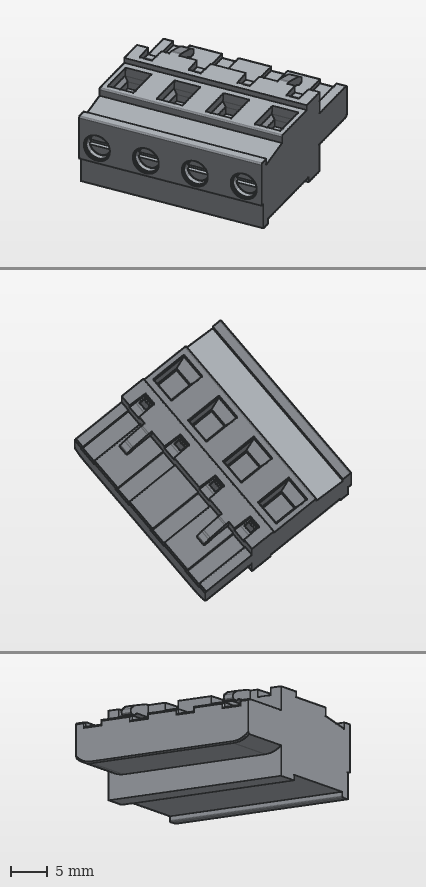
import cadquery as cq
import math

WIDTH = 28.0
LENGTH = 26.0
HEIGHT = 12.6
EDGE_RADIUS = 0.22

POLE_COUNT = 4
POLE_PITCH = 7.5
POLE_X = [(i - (POLE_COUNT - 1) / 2) * POLE_PITCH for i in range(POLE_COUNT)]

BLOCK_BACK_Y = 17.67
BLOCK_FRONT_Y = 13.78
DECK_FRONT_Y = 6.22
DECK_Z = 11.82
SLOPE_BACK_Z = 10.6
SLOPE_FRONT_Z = 9.72
LIP_THICKNESS = 1.48
LIP_TOP_Z = 10.65
LIP_BOTTOM_Z = 3.8
SKIRT_Y = 0.55
FRONT_FOOT_BACK_Y = 2.02
REAR_FOOT_FRONT_Y = 14.3
BASE_Z = 0.78

TONGUE_TOP_Z = 9.25
TONGUE_BOTTOM_Z = 3.33
TONGUE_SIDE_BOTTOM_Z = 4.28
TONGUE_ARC_WIDTH = 2.5
TONGUE_CHAMFER = 0.22
GROOVE_WIDTH = 2.52
GROOVE_DEPTH = 0.65

LATCH_X = 8.3
LATCH_WIDTH = 1.5
LATCH_UNDER_Z = 10.85
LATCH_SHOULDER = (18.28, HEIGHT)
LATCH_KINK = (21.1, 11.9)
LATCH_BEND_RADIUS = 0.98
LATCH_NOSE_TOP = (21.98, 11.35)
LATCH_TIP = (22.15, 10.95)
LATCH_NOSE_BOTTOM = (21.9, 10.5)
LATCH_HOOK_Y = 21.2
LATCH_HOOK_ROOT_Y = 20.5

NOTCH_BACK_WIDTH = 2.1
NOTCH_FRONT_WIDTH = 1.9
NOTCH_FRONT_Y = 14.9
NOTCH_DEPTH = 0.98
NOTCH_SLOPE_Y = 16.63
NOTCH_BACK_DEPTH = 1.05
TEST_SLOT_WIDTH = 1.37
TEST_SLOT_FRONT_Y = 15.0
TEST_SLOT_STEP_Y = 15.4
TEST_SLOT_BACK_Y = 16.2
TEST_SLOT_DEPTH = 0.8
TEST_SLOT_CREST_DEPTH = 0.08

WINDOW_WIDTH = 3.95
WINDOW_FRONT_Y = 7.22
WINDOW_BACK_Y = 12.7
WINDOW_MOUTH_DEPTH = 1.18
WINDOW_MOUTH_DRAFT = 0.22
WINDOW_FLOOR_WIDTH = 2.97
WINDOW_FLOOR_FRONT_Y = 8.93
WINDOW_FLOOR_BACK_Y = 12.35
WINDOW_TAPER_DEPTH = 0.73
WINDOW_FLOOR_DEPTH = 3.0

SCREW_Z = 6.3
SCREW_MOUTH_RADIUS = 1.93
SCREW_MOUTH_CHAMFER = 0.08
SCREW_MOUTH_DEPTH = 0.45
SCREW_HOLE_RADIUS = 1.85
SCREW_HEAD_Y = 1.12
SCREW_HEAD_CHAMFER = 0.22
SCREW_SLOT_WIDTH = 0.8
SCREW_SLOT_DEPTH = 0.73


def box(x_center, x_size, y_min, y_max, z_min, z_max):
    """Axis-aligned box, centred on x_center along X."""
    block = cq.Workplane("XY").box(x_size, y_max - y_min, z_max - z_min, centered=(True, False, False))
    return block.translate((x_center, y_min, z_min))


def side_extrusion(outline, x_center, x_size):
    """Extrude a closed YZ outline symmetrically about x_center."""
    return outline.extrude(x_size / 2, both=True).translate((x_center, 0, 0))


def make_housing():
    """Main body: stepped side profile across the full width."""
    outline = cq.Workplane("YZ").polyline([
        (BLOCK_BACK_Y, 0),
        (BLOCK_BACK_Y, HEIGHT),
        (BLOCK_FRONT_Y, HEIGHT),
        (BLOCK_FRONT_Y, DECK_Z),
        (DECK_FRONT_Y, DECK_Z),
        (DECK_FRONT_Y, SLOPE_BACK_Z),
        (LIP_THICKNESS, SLOPE_FRONT_Z),
        (LIP_THICKNESS, LIP_TOP_Z),
        (0, LIP_TOP_Z),
        (0, LIP_BOTTOM_Z),
        (SKIRT_Y, LIP_BOTTOM_Z),
        (SKIRT_Y, 0),
        (FRONT_FOOT_BACK_Y, 0),
        (FRONT_FOOT_BACK_Y, BASE_Z),
        (REAR_FOOT_FRONT_Y, BASE_Z),
        (REAR_FOOT_FRONT_Y, 0),
    ]).close()
    housing = side_extrusion(outline, 0, WIDTH)
    rounded_corners = [
        (DECK_FRONT_Y, DECK_Z),
        (0, LIP_TOP_Z),
        (0, LIP_BOTTOM_Z),
        (FRONT_FOOT_BACK_Y, 0),
    ]
    for y, z in rounded_corners:
        housing = housing.edges(cq.selectors.NearestToPointSelector((0, y, z))).fillet(EDGE_RADIUS)
    return housing


def make_tongue():
    """Plug tongue with one top groove per pole and rounded lower sides."""
    half = WIDTH / 2
    flat_half = half - TONGUE_ARC_WIDTH
    arc_rise = TONGUE_SIDE_BOTTOM_Z - TONGUE_BOTTOM_Z
    arc_radius = (TONGUE_ARC_WIDTH**2 + arc_rise**2) / (2 * arc_rise)
    half_angle = math.asin(TONGUE_ARC_WIDTH / arc_radius) / 2
    middle_dx = arc_radius * math.sin(half_angle)
    middle_z = TONGUE_BOTTOM_Z + arc_radius * (1 - math.cos(half_angle))
    outline = (
        cq.Workplane("XZ", origin=(0, BLOCK_BACK_Y, 0))
        .moveTo(-half, TONGUE_SIDE_BOTTOM_Z)
        .lineTo(-half, TONGUE_TOP_Z)
    )
    floor_z = TONGUE_TOP_Z - GROOVE_DEPTH
    for x in POLE_X:
        left = x - GROOVE_WIDTH / 2
        right = x + GROOVE_WIDTH / 2
        outline = (
            outline.lineTo(left, TONGUE_TOP_Z)
            .lineTo(left, floor_z)
            .lineTo(right, floor_z)
            .lineTo(right, TONGUE_TOP_Z)
        )
    tongue = (
        outline.lineTo(half, TONGUE_TOP_Z)
        .lineTo(half, TONGUE_SIDE_BOTTOM_Z)
        .threePointArc((flat_half + middle_dx, middle_z), (flat_half, TONGUE_BOTTOM_Z))
        .lineTo(-flat_half, TONGUE_BOTTOM_Z)
        .threePointArc((-flat_half - middle_dx, middle_z), (-half, TONGUE_SIDE_BOTTOM_Z))
        .close()
        .extrude(BLOCK_BACK_Y - LENGTH)
    )
    return tongue.faces(">Y").edges("not (>X or <X)").chamfer(TONGUE_CHAMFER)


def make_latch(x):
    """Hooked arm reaching back over the tongue."""
    outline = (
        cq.Workplane("YZ")
        .moveTo(BLOCK_FRONT_Y, HEIGHT)
        .lineTo(*LATCH_SHOULDER)
        .lineTo(*LATCH_KINK)
        .lineTo(*LATCH_NOSE_TOP)
        .threePointArc(LATCH_TIP, LATCH_NOSE_BOTTOM)
        .lineTo(LATCH_HOOK_Y, LATCH_NOSE_BOTTOM[1])
        .lineTo(LATCH_HOOK_ROOT_Y, LATCH_UNDER_Z)
        .lineTo(BLOCK_FRONT_Y, LATCH_UNDER_Z)
        .close()
    )
    latch = side_extrusion(outline, x, LATCH_WIDTH)
    for y, z in (LATCH_SHOULDER, LATCH_KINK):
        latch = latch.edges(cq.selectors.NearestToPointSelector((x, y, z))).fillet(LATCH_BEND_RADIUS)
    return latch


def make_notch(x):
    """Tapered notch whose floor dips towards the back, with a test slot sunk into it."""
    floor_z = HEIGHT - NOTCH_DEPTH
    back_floor_z = HEIGHT - NOTCH_BACK_DEPTH
    plan = (
        cq.Workplane("XY", origin=(x, 0, back_floor_z))
        .polyline([
            (-NOTCH_BACK_WIDTH / 2, BLOCK_BACK_Y),
            (NOTCH_BACK_WIDTH / 2, BLOCK_BACK_Y),
            (NOTCH_FRONT_WIDTH / 2, NOTCH_FRONT_Y),
            (-NOTCH_FRONT_WIDTH / 2, NOTCH_FRONT_Y),
        ])
        .close()
        .extrude(NOTCH_BACK_DEPTH)
    )
    profile = cq.Workplane("YZ").polyline([
        (NOTCH_FRONT_Y, HEIGHT),
        (NOTCH_FRONT_Y, floor_z),
        (NOTCH_SLOPE_Y, floor_z),
        (BLOCK_BACK_Y, back_floor_z),
        (BLOCK_BACK_Y, HEIGHT),
    ]).close()
    notch = plan.intersect(side_extrusion(profile, x, NOTCH_BACK_WIDTH))
    slot_floor_z = floor_z - TEST_SLOT_DEPTH
    slot = cq.Workplane("YZ").polyline([
        (TEST_SLOT_BACK_Y, floor_z),
        (TEST_SLOT_BACK_Y, slot_floor_z),
        (TEST_SLOT_STEP_Y, floor_z - TEST_SLOT_CREST_DEPTH),
        (TEST_SLOT_STEP_Y, slot_floor_z),
        (TEST_SLOT_FRONT_Y, slot_floor_z),
        (TEST_SLOT_FRONT_Y, floor_z),
    ]).close()
    return notch.union(side_extrusion(slot, x, TEST_SLOT_WIDTH))


def make_window(x):
    """Mouth with a leaning back wall, a funnel below it and a straight shaft to the floor."""
    taper_top_z = DECK_Z - WINDOW_MOUTH_DEPTH
    taper_bottom_z = taper_top_z - WINDOW_TAPER_DEPTH
    mouth_floor_back_y = WINDOW_BACK_Y - WINDOW_MOUTH_DRAFT
    mouth_length = mouth_floor_back_y - WINDOW_FRONT_Y
    mouth_y = (mouth_floor_back_y + WINDOW_FRONT_Y) / 2
    floor_length = WINDOW_FLOOR_BACK_Y - WINDOW_FLOOR_FRONT_Y
    floor_y = (WINDOW_FLOOR_BACK_Y + WINDOW_FLOOR_FRONT_Y) / 2
    mouth_profile = cq.Workplane("YZ").polyline([
        (WINDOW_FRONT_Y, DECK_Z),
        (WINDOW_BACK_Y, DECK_Z),
        (mouth_floor_back_y, taper_top_z),
        (WINDOW_FRONT_Y, taper_top_z),
    ]).close()
    mouth = side_extrusion(mouth_profile, x, WINDOW_WIDTH)
    taper = (
        cq.Workplane("XY", origin=(x, mouth_y, taper_top_z))
        .rect(WINDOW_WIDTH, mouth_length)
        .workplane(offset=-WINDOW_TAPER_DEPTH)
        .center(0, floor_y - mouth_y)
        .rect(WINDOW_FLOOR_WIDTH, floor_length)
        .loft(ruled=True)
    )
    shaft = box(
        x,
        WINDOW_FLOOR_WIDTH,
        WINDOW_FLOOR_FRONT_Y,
        WINDOW_FLOOR_BACK_Y,
        DECK_Z - WINDOW_FLOOR_DEPTH,
        taper_bottom_z,
    )
    return mouth.union(taper).union(shaft)


def make_screw_recess(x):
    """Hole down to a slotted, chamfered screw head."""
    face_radius = SCREW_HOLE_RADIUS - SCREW_HEAD_CHAMFER
    recess = (
        cq.Workplane("XY")
        .polyline([
            (0, 0),
            (SCREW_MOUTH_RADIUS + SCREW_MOUTH_CHAMFER, 0),
            (SCREW_MOUTH_RADIUS, SCREW_MOUTH_CHAMFER),
            (SCREW_MOUTH_RADIUS, SCREW_MOUTH_DEPTH),
            (SCREW_HOLE_RADIUS, SCREW_MOUTH_DEPTH),
            (SCREW_HOLE_RADIUS, SCREW_HEAD_Y + SCREW_HEAD_CHAMFER),
            (face_radius, SCREW_HEAD_Y),
            (0, SCREW_HEAD_Y),
        ])
        .close()
        .revolve(360, (0, 0, 0), (0, 1, 0))
    )
    slot_end_y = SCREW_HEAD_Y + SCREW_SLOT_DEPTH
    core = cq.Workplane("XZ").circle(SCREW_HOLE_RADIUS).extrude(-slot_end_y)
    slot = core.intersect(
        box(0, 2 * SCREW_HOLE_RADIUS, SCREW_HEAD_Y, slot_end_y, -SCREW_SLOT_WIDTH / 2, SCREW_SLOT_WIDTH / 2)
    )
    return recess.union(slot).translate((x, 0, SCREW_Z))


result = make_housing().union(make_tongue())
for pole_x in POLE_X:
    result = result.cut(make_notch(pole_x)).cut(make_window(pole_x)).cut(make_screw_recess(pole_x))
for latch_x in (-LATCH_X, LATCH_X):
    result = result.union(make_latch(latch_x))